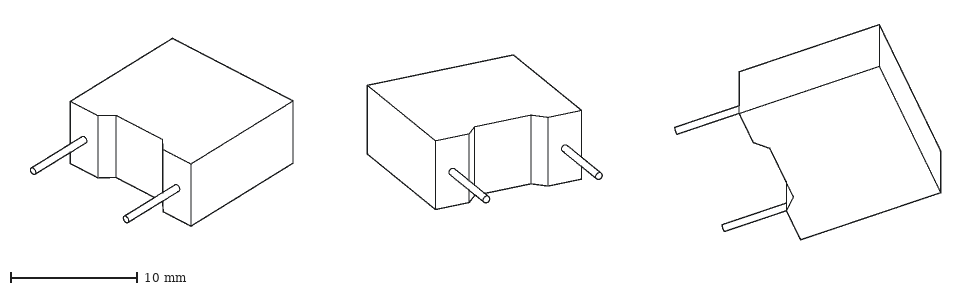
import cadquery as cq

total_length = 18.0
body_width = 13.0
body_height = 6.0
lead_length = 6.0
body_length = total_length - lead_length

lead_diameter = 0.6
lead_pitch = 10.0

notch_floor_width = 5.0
notch_depth = 1.0
notch_mouth_width = notch_floor_width + 2 * notch_depth


def make_body():
    """Box body with its lead face on the XZ plane and the notch cut through its height."""
    half_width = body_width / 2
    half_mouth = notch_mouth_width / 2
    half_floor = notch_floor_width / 2
    outline = [
        (-half_width, 0),
        (-half_mouth, 0),
        (-half_floor, notch_depth),
        (half_floor, notch_depth),
        (half_mouth, 0),
        (half_width, 0),
        (half_width, body_length),
        (-half_width, body_length),
    ]
    return cq.Workplane("XY").polyline(outline).close().extrude(body_height)


def make_leads():
    """Pair of straight leads running from the lead face toward -Y."""
    lead_centres = [(side * lead_pitch / 2, body_height / 2) for side in (-1, 1)]
    return (
        cq.Workplane("XZ")
        .pushPoints(lead_centres)
        .circle(lead_diameter / 2)
        .extrude(lead_length)
    )


result = make_body().union(make_leads())